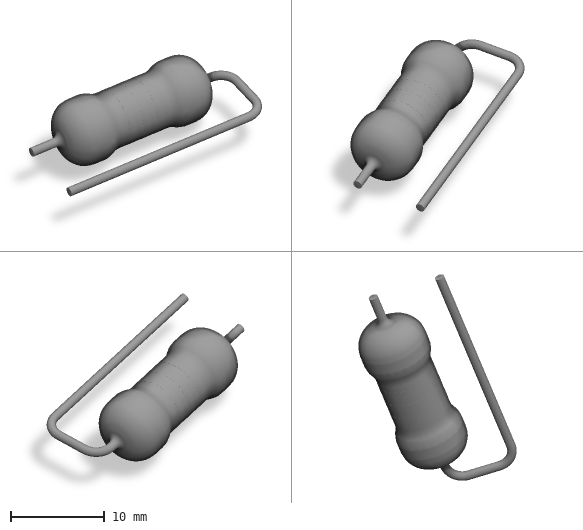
import cadquery as cq
import math

total_length = 25.1
lead_diameter = 1.0
lead_spacing = 7.5
bend_radius = 2.0

cap_diameter = 7.5
waist_diameter = 6.38
body_start = 3.61
body_length = 18.0
end_round = 2.6
cap_length = 3.85
shoulder_length = 2.1
neck_fillet = 0.75

band_diameter = 6.4
band_width = 0.88
band_pitch = 2 * band_width
band_count = 3

lead_radius = lead_diameter / 2
cap_radius = cap_diameter / 2
waist_radius = waist_diameter / 2
body_middle = body_start + body_length / 2
start_y = -total_length / 2


def make_body():
    """Half profile (radius, distance along the axis) revolved and mirrored."""
    half = body_length / 2
    shoulder_start = half - cap_length
    shoulder_end = shoulder_start - shoulder_length
    shoulder_middle = (shoulder_start + shoulder_end) / 2
    mean_radius = (cap_radius + waist_radius) / 2

    step = cap_radius - waist_radius
    arc_radius = (step**2 + shoulder_length**2) / (4 * step)
    quarter = shoulder_length / 4
    sag = arc_radius - math.sqrt(arc_radius**2 - quarter**2)

    round_centre_radius = cap_radius - end_round
    round_centre_y = half - end_round
    fillet_centre_radius = lead_radius + neck_fillet
    centre_distance = end_round + neck_fillet
    neck_angle = math.acos((fillet_centre_radius - round_centre_radius) / centre_distance)
    fillet_centre_y = round_centre_y + centre_distance * math.sin(neck_angle)

    def round_point(angle):
        return (
            round_centre_radius + end_round * math.cos(angle),
            round_centre_y + end_round * math.sin(angle),
        )

    fillet_mid_angle = math.pi + neck_angle / 2
    fillet_middle = (
        fillet_centre_radius + neck_fillet * math.cos(fillet_mid_angle),
        fillet_centre_y + neck_fillet * math.sin(fillet_mid_angle),
    )

    profile = (
        cq.Workplane("XY")
        .moveTo(0, 0)
        .lineTo(waist_radius, 0)
        .lineTo(waist_radius, shoulder_end)
        .threePointArc((waist_radius + sag, shoulder_end + quarter), (mean_radius, shoulder_middle))
        .threePointArc((cap_radius - sag, shoulder_start - quarter), (cap_radius, shoulder_start))
        .lineTo(cap_radius, round_centre_y)
        .threePointArc(round_point(neck_angle / 2), round_point(neck_angle))
        .threePointArc(fillet_middle, (lead_radius, fillet_centre_y))
        .lineTo(0, fillet_centre_y)
        .close()
    )
    half_body = profile.revolve(360, (0, 0), (0, 1))
    body = half_body.union(half_body.mirror("XZ")).clean()
    return body.translate((0, start_y + body_middle, 0))


def make_bands(body):
    """Thin raised rings spaced evenly about the middle of the body."""
    first_centre = start_y + body_middle - band_pitch * (band_count - 1) / 2
    for index in range(band_count):
        band_start = first_centre + index * band_pitch - band_width / 2
        band = (
            cq.Workplane("XZ", origin=(0, band_start, 0))
            .circle(band_diameter / 2)
            .extrude(-band_width)
        )
        body = body.union(band)
    return body


def make_short_lead():
    """Straight lead from the free end into the body."""
    return cq.Workplane("XZ", origin=(0, start_y, 0)).circle(lead_radius).extrude(-body_middle)


def make_bent_lead():
    """Lead leaving the far end of the body and folding back beside it."""
    top_y = total_length / 2 - lead_radius
    bend_y = top_y - bend_radius
    bend_offset = bend_radius * math.sqrt(0.5)
    body_side = start_y + body_middle
    path = (
        cq.Workplane("XY")
        .moveTo(0, body_side)
        .lineTo(0, bend_y)
        .threePointArc((bend_radius - bend_offset, bend_y + bend_offset), (bend_radius, top_y))
        .lineTo(lead_spacing - bend_radius, top_y)
        .threePointArc(
            (lead_spacing - bend_radius + bend_offset, bend_y + bend_offset),
            (lead_spacing, bend_y),
        )
        .lineTo(lead_spacing, start_y)
    )
    return cq.Workplane("XZ", origin=(0, body_side, 0)).circle(lead_radius).sweep(path)


result = make_bands(make_body()).union(make_short_lead()).union(make_bent_lead())